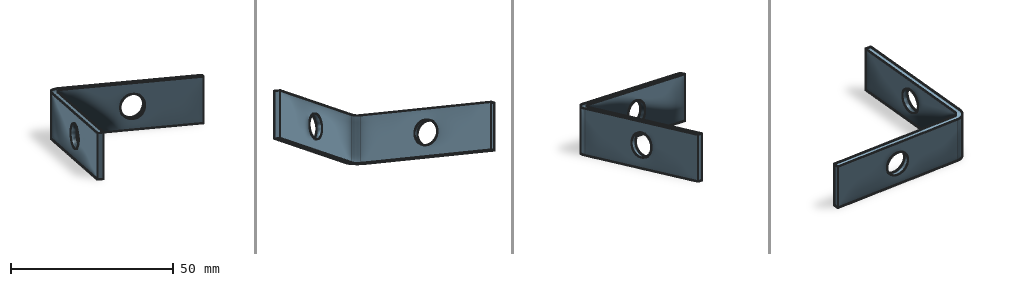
import cadquery as cq

leg_length = 50.0
width = 15.0
thickness = 2.0
inner_bend_radius = 2.0
hole_diameter = 8.0
hole_distance = 27.0

outer_bend_radius = inner_bend_radius + thickness


def bent_strip():
    """L-shaped strip with a rounded bend at the origin corner."""
    strip = (
        cq.Workplane("XY")
        .moveTo(0, 0)
        .lineTo(leg_length, 0)
        .lineTo(leg_length, thickness)
        .lineTo(thickness, thickness)
        .lineTo(thickness, leg_length)
        .lineTo(0, leg_length)
        .close()
        .extrude(width)
    )
    strip = strip.edges(cq.selectors.NearestToPointSelector((0, 0, width / 2))).fillet(outer_bend_radius)
    inner_corner = cq.selectors.NearestToPointSelector((thickness, thickness, width / 2))
    return strip.edges(inner_corner).fillet(inner_bend_radius)


def leg_hole(position, direction):
    """Cylinder that pierces one leg through its thickness."""
    return cq.Workplane(
        cq.Solid.makeCylinder(hole_diameter / 2, thickness, cq.Vector(*position), cq.Vector(*direction))
    )


x_leg_hole = leg_hole((hole_distance, 0, width / 2), (0, 1, 0))
y_leg_hole = leg_hole((0, hole_distance, width / 2), (1, 0, 0))

result = bent_strip().cut(x_leg_hole).cut(y_leg_hole)